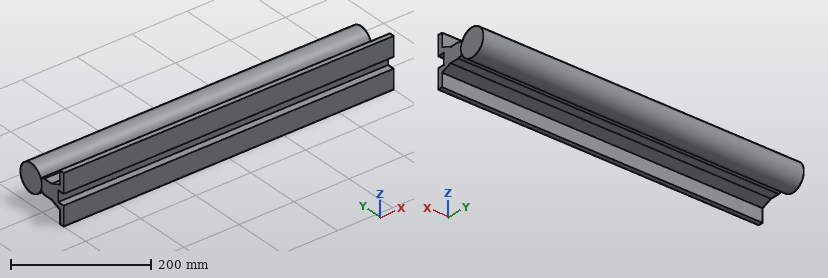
import cadquery as cq

total_length = 600.0
total_depth = 100.0
flange_height = 90.0

shaft_diameter = 50.0
shaft_radius = shaft_diameter / 2
shaft_y = total_depth - shaft_radius

flange_thickness = 9.0
slot_depth = 12.5
slot_height = 20.0
flare_depth = 27.5
flare_height = 42.0
neck_depth = 45.0
neck_height = 27.0
nose_depth = 53.5
nose_height = 21.0


def make_shaft():
    """Plain round bar carried by the rail."""
    return cq.Workplane("YZ").center(shaft_y, 0).circle(shaft_radius).extrude(total_length)


def make_rail(seated_shaft):
    """Extruded support with a slotted flange, a flared neck and a round seat for the shaft."""
    upper_half = [
        (slot_depth, slot_height / 2),
        (0, slot_height / 2),
        (0, flange_height / 2),
        (flange_thickness, flange_height / 2),
        (flange_thickness, flare_height / 2),
        (flare_depth, neck_height / 2),
        (neck_depth, neck_height / 2),
        (nose_depth, nose_height / 2),
    ]
    lower_half = [(y, -z) for y, z in reversed(upper_half)]
    blank = cq.Workplane("YZ").polyline(upper_half + lower_half).close().extrude(total_length)
    return blank.cut(seated_shaft)


shaft = make_shaft()
rail = make_rail(shaft)
result = cq.Compound.makeCompound([shaft.val(), rail.val()])